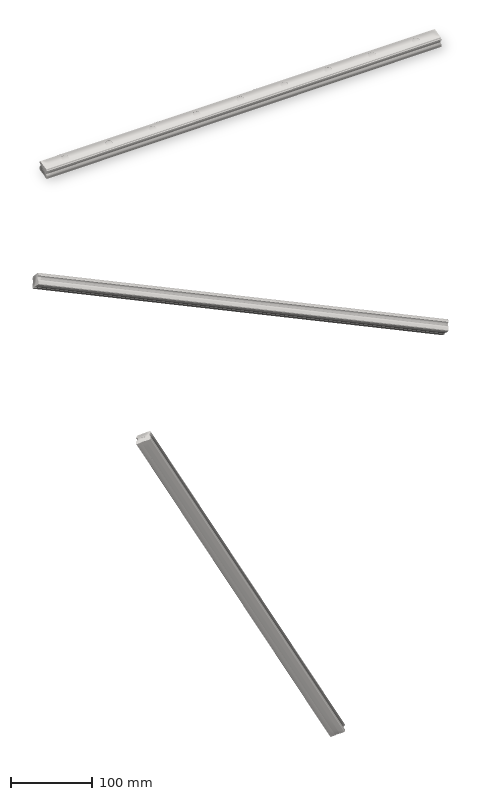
import cadquery as cq

width = 20.0
length = 540.0
height = 15.5

half_width = width / 2
neck_half_width = 8.7
groove_end_half_width = 8.1
waist_half_width = 8.0

base_side_height = 4.4
waist_bottom_height = 7.2
waist_top_height = 9.0
lower_groove_bottom = 10.2
lower_groove_top = 11.5
upper_groove_bottom = 13.7

top_chamfer = 0.4
base_chamfer = 0.8
groove_sagitta = 0.25
shoulder_sagitta = 0.4

relief_width = 6.2
relief_depth = 0.5

recess_pitch = 60.0
recess_count = 9
recess_diameter = 9.5
recess_depth = 0.3

end_recess_width = 5.5
end_recess_height = 2.0
end_recess_depth = 0.3


def rail_body():
    head_shoulder = height - top_chamfer
    right_half = (
        cq.Workplane("XZ")
        .lineTo(relief_width / 2, 0)
        .lineTo(half_width - base_chamfer, 0)
        .lineTo(half_width, base_chamfer)
        .lineTo(half_width, base_side_height)
        .sagittaArc((waist_half_width, waist_bottom_height), -shoulder_sagitta)
        .lineTo(waist_half_width, waist_top_height)
        .lineTo(groove_end_half_width, lower_groove_bottom)
        .sagittaArc((half_width, lower_groove_top), groove_sagitta)
        .lineTo(half_width, upper_groove_bottom)
        .sagittaArc((neck_half_width, head_shoulder), groove_sagitta)
        .lineTo(neck_half_width - top_chamfer, height)
        .lineTo(0, height)
        .close()
        .extrude(length / 2, both=True)
    )
    return right_half.union(right_half.mirror("YZ")).clean()


def cut_underside_relief(body):
    relief = cq.Workplane("XY").box(relief_width, length, relief_depth, centered=(True, True, False))
    return body.cut(relief)


def cut_top_recesses(body):
    recesses = (
        cq.Workplane("XY", origin=(0, 0, height - recess_depth))
        .rarray(1, recess_pitch, 1, recess_count)
        .circle(recess_diameter / 2)
        .extrude(recess_depth)
    )
    return body.cut(recesses)


def cut_end_recess(body):
    recess = cq.Workplane("XY").box(end_recess_width, 2 * end_recess_depth, end_recess_height)
    return body.cut(recess.translate((0, -length / 2, height / 2)))


rail = rail_body()
rail = cut_underside_relief(rail)
rail = cut_top_recesses(rail)
result = cut_end_recess(rail)